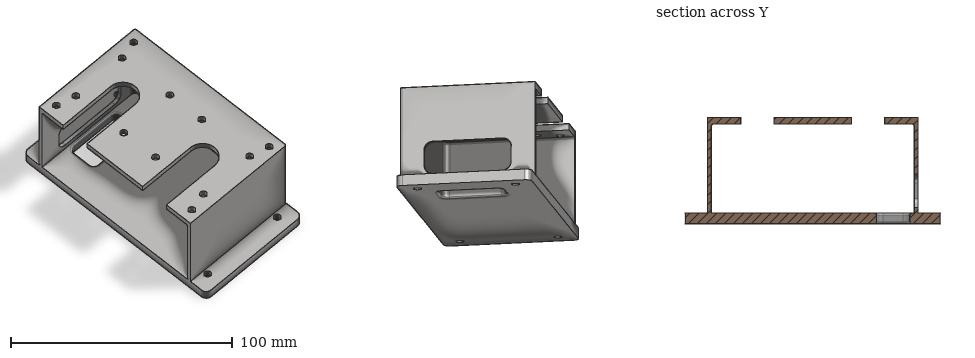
import cadquery as cq

length = 115.0
depth = 62.0
height = 48.0

base_thickness = 5.0
base_corner_radius = 3.0
mount_inset_x = 7.5
mount_inset_y = 8.5

cover_length = 95.0
wall = 1.8
top_thickness = 3.0
outer_corner_radius = 0.9
inner_corner_radius = 3.0
ceiling_fillet = 0.9

hole_diameter = 3.5
corner_hole_x = 42.5
corner_hole_y = 25.0
grid_outer_x = 40.0
grid_inner_x = 10.0
grid_y = 15.0
notch_width = 15.0
notch_x = 25.0
window_width = 40.0
window_height = 15.0
window_sill = 2.5
window_radius = 4.0
floor_slot_x = -36.2
floor_slot_length = 15.0
floor_slot_width = 30.0
floor_slot_radius = 3.0
floor_slot_fillet = 1.0

front_y = -depth / 2
top_bottom_z = height - top_thickness


def mirrored(x, y):
    """Four points placed symmetrically about both axes."""
    return [(sx * x, sy * y) for sx in (-1, 1) for sy in (-1, 1)]


def make_base():
    """Rounded flange with a floor slot, rounded along both rims, and four mounting holes."""
    slot = (
        cq.Workplane("XY")
        .center(floor_slot_x, 0)
        .rect(floor_slot_length, floor_slot_width)
        .extrude(base_thickness)
        .edges("|Z")
        .fillet(floor_slot_radius)
    )
    base = (
        cq.Workplane("XY")
        .rect(length, depth)
        .extrude(base_thickness)
        .edges("|Z")
        .fillet(base_corner_radius)
        .cut(slot)
    )
    slot_region = cq.selectors.BoxSelector(
        (floor_slot_x - floor_slot_length, -floor_slot_width, -base_thickness),
        (floor_slot_x + floor_slot_length, floor_slot_width, 2 * base_thickness),
    )
    base = base.faces("<Z or >Z").edges(slot_region).fillet(floor_slot_fillet)
    mounts = mirrored(length / 2 - mount_inset_x, depth / 2 - mount_inset_y)
    return base.faces("<Z").workplane(origin=(0, 0, 0)).pushPoints(mounts).hole(hole_diameter)


def make_cover():
    """Box shell standing on the flange, open towards -Y."""
    shell = (
        cq.Workplane("XY", origin=(0, 0, base_thickness))
        .rect(cover_length, depth)
        .extrude(height - base_thickness)
        .edges("|Z and >Y")
        .fillet(outer_corner_radius)
    )
    cavity = (
        cq.Workplane("XY", origin=(0, -wall / 2, base_thickness))
        .rect(cover_length - 2 * wall, depth - wall)
        .extrude(top_bottom_z - base_thickness)
        .edges("|Z and >Y")
        .fillet(inner_corner_radius)
        .edges(">Z and >Y")
        .fillet(ceiling_fillet)
    )
    return shell.cut(cavity)


def make_notches():
    """Two round-ended notches running in from the front of the top plate."""
    radius = notch_width / 2
    notches = cq.Workplane("XY", origin=(0, 0, top_bottom_z))
    for x in (-notch_x, notch_x):
        notches = (
            notches.moveTo(x - radius, front_y)
            .lineTo(x - radius, 0)
            .threePointArc((x, radius), (x + radius, 0))
            .lineTo(x + radius, front_y)
            .close()
        )
    return notches.extrude(top_thickness)


def make_top_holes():
    """Cover screw holes and two square hole groups through the top plate."""
    points = (
        mirrored(corner_hole_x, corner_hole_y)
        + mirrored(grid_outer_x, grid_y)
        + mirrored(grid_inner_x, grid_y)
    )
    return (
        cq.Workplane("XY", origin=(0, 0, top_bottom_z))
        .pushPoints(points)
        .circle(hole_diameter / 2)
        .extrude(top_thickness)
    )


def make_window():
    """Rounded opening through the -X side wall."""
    centre_z = base_thickness + window_sill + window_height / 2
    return (
        cq.Workplane("YZ", origin=(-cover_length / 2, 0, centre_z))
        .rect(window_width, window_height)
        .extrude(wall)
        .edges("|X")
        .fillet(window_radius)
    )


cover = make_cover().cut(make_notches()).cut(make_top_holes()).cut(make_window())
result = make_base().union(cover)